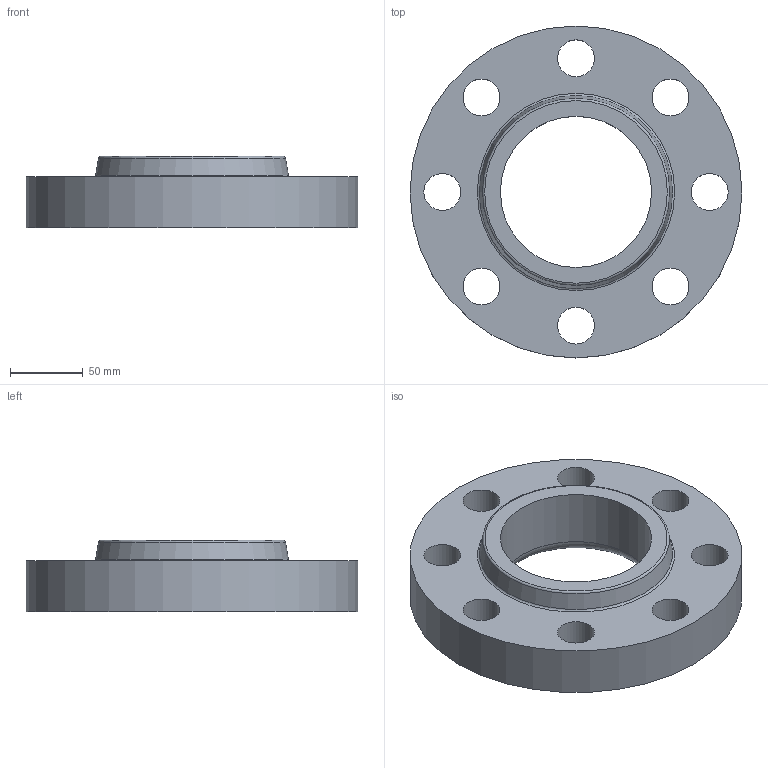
import cadquery as cq
import math

flange_diameter = 228.6
flange_thickness = 35.05
overall_height = 49.28

hub_base_diameter = 133.35
hub_taper_angle = 10.0
hub_root_fillet = 1.5
hub_top_fillet = 1.5

bore_diameter = 104.14
bore_mouth_radius = 9.65

bolt_count = 8
bolt_circle_diameter = 184.15
bolt_hole_diameter = 25.4

hub_height = overall_height - flange_thickness
hub_base_radius = hub_base_diameter / 2
hub_top_radius = hub_base_radius - hub_height * math.tan(math.radians(hub_taper_angle))


def make_flange_plate():
    return cq.Workplane("XY").circle(flange_diameter / 2).extrude(flange_thickness)


def make_hub():
    """Hub core: straight within the plate, then tapering up to the full height."""
    return (
        cq.Workplane("XZ")
        .moveTo(0, 0)
        .lineTo(hub_base_radius, 0)
        .lineTo(hub_base_radius, flange_thickness)
        .lineTo(hub_top_radius, overall_height)
        .lineTo(0, overall_height)
        .close()
        .revolve(360, (0, 0, 0), (0, 1, 0))
    )


def circle_at(radius, height):
    """Selector for the circular edge around the axis with this radius at this height."""
    margin = 0.01
    reach = radius + margin
    return cq.selectors.BoxSelector(
        (-reach, -reach, height - margin), (reach, reach, height + margin), boundingbox=True
    )


def round_hub(body):
    body = body.edges(circle_at(hub_base_radius, flange_thickness)).fillet(hub_root_fillet)
    return body.edges(circle_at(hub_top_radius, overall_height)).fillet(hub_top_fillet)


def cut_bore(body):
    body = body.faces("<Z").workplane(origin=(0, 0, 0)).circle(bore_diameter / 2).cutThruAll()
    mouth = circle_at(bore_diameter / 2, 0)
    return body.edges(mouth).fillet(bore_mouth_radius)


def cut_bolt_holes(body):
    holes = (
        cq.Workplane("XY")
        .polarArray(bolt_circle_diameter / 2, 0, 360, bolt_count)
        .circle(bolt_hole_diameter / 2)
        .extrude(flange_thickness)
    )
    return body.cut(holes)


body = make_flange_plate().union(make_hub())
body = round_hub(body)
body = cut_bore(body)
result = cut_bolt_holes(body)